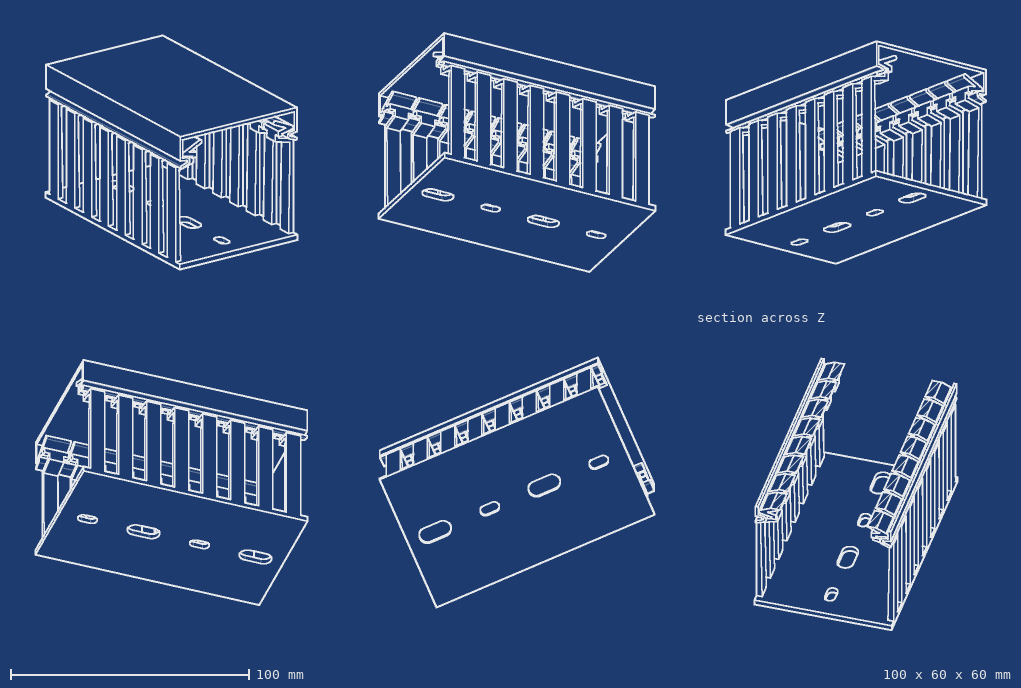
import cadquery as cq
import math


length = 100.0
width = 60.0
height = 60.0

base_thickness = 2.5
slot_pitch = 25.0
slots_per_size = 2
large_slot_width = 6.8
large_slot_length = 14.0
small_slot_width = 4.4
small_slot_length = 8.4

finger_pitch = 12.5
finger_count = int(length / finger_pitch)
finger_width = 6.4
finger_top_thickness = 1.8
finger_root_thickness = 2.5

shoulder_outer_z = 45.1
shoulder_under_z = 43.5
shoulder_rise = 1.6
neck_inner_y = 20.8
neck_thickness = 2.0
neck_bottom_z = 45.4
neck_outer_y = neck_inner_y + neck_thickness

head_gap = 1.6
head_width = finger_pitch - head_gap
head_bottom_z = 48.5
leg_height = 1.9
leg_slope = 0.2
nose_z = 51.2
arm_radius = 0.9
arm_tip_y = 19.1
arm_tip_z = 55.1

lid_half_width = 29.7
lid_top_thickness = 1.7
lid_side_thickness = 1.3
lid_side_bottom_z = 49.0
lid_inner_y = lid_half_width - lid_side_thickness
nose_gap = 0.1
nose_y = lid_inner_y - nose_gap - arm_radius

lip_radius = 0.6
lip_root_z = lid_side_bottom_z + lip_radius
lip_bend_start = (26.3, 49.1)
lip_bend_middle = (25.5, 48.1)
lip_bend_end = (26.1, 47.2)
lip_tip_y = lid_half_width - lip_radius
lip_tip_z = 46.0


def extrude_along_x(profile, size):
    """Extrude a YZ sketch to a bar of the given size, centred on X = 0."""
    return profile.extrude(size / 2, both=True)


def mounting_slots(slot_length, slot_width, first_x):
    """Slots of one size, cut through the base; every second place along X."""
    slots = cq.Workplane("XY")
    for index in range(slots_per_size):
        slot_x = first_x + index * 2 * slot_pitch
        slot = cq.Workplane("XY").center(slot_x, 0).slot2D(slot_length, slot_width)
        slots = slots.add(slot.extrude(base_thickness))
    return slots.combine()


def make_base():
    base = cq.Workplane("XY").box(length, width, base_thickness, centered=(True, True, False))
    first_slot_x = -length / 2 + slot_pitch / 2
    base = base.cut(mounting_slots(large_slot_length, large_slot_width, first_slot_x))
    return base.cut(mounting_slots(small_slot_length, small_slot_width, first_slot_x + slot_pitch))


def make_finger_post():
    """Tapered finger with its shoulder and neck, up to the underside of the head."""
    outer_y = width / 2
    profile = (
        cq.Workplane("YZ")
        .moveTo(outer_y, base_thickness)
        .lineTo(outer_y, shoulder_outer_z)
        .lineTo(neck_outer_y, shoulder_outer_z + shoulder_rise)
        .lineTo(neck_outer_y, head_bottom_z)
        .lineTo(neck_inner_y, head_bottom_z)
        .lineTo(neck_inner_y, neck_bottom_z)
        .lineTo(outer_y - finger_top_thickness, shoulder_under_z)
        .lineTo(outer_y - finger_root_thickness, base_thickness)
        .close()
    )
    return extrude_along_x(profile, finger_width)


def make_snap_head():
    """Head of a finger, wider along X than the post below it."""
    leg_bottom_z = nose_z - arm_radius
    leg_drop_to_outer = leg_slope * (nose_y - neck_outer_y)
    leg_drop_to_inner = leg_slope * (nose_y - neck_inner_y)
    leg_profile = (
        cq.Workplane("YZ")
        .moveTo(neck_inner_y, head_bottom_z)
        .lineTo(neck_outer_y, head_bottom_z)
        .lineTo(neck_outer_y, leg_bottom_z - leg_drop_to_outer)
        .lineTo(nose_y, leg_bottom_z)
        .lineTo(nose_y, leg_bottom_z + leg_height)
        .lineTo(neck_inner_y, leg_bottom_z + leg_height - leg_drop_to_inner)
        .close()
    )
    arm_run = nose_y - arm_tip_y
    arm_rise = arm_tip_z - nose_z
    arm_length = math.hypot(arm_run, arm_rise) + 2 * arm_radius
    arm_angle = math.degrees(math.atan2(-arm_rise, arm_run))
    arm_profile = (
        cq.Workplane("YZ")
        .center((nose_y + arm_tip_y) / 2, (nose_z + arm_tip_z) / 2)
        .slot2D(arm_length, 2 * arm_radius, arm_angle)
    )
    return extrude_along_x(leg_profile, head_width).union(extrude_along_x(arm_profile, head_width))


def make_duct():
    duct = make_base()
    finger = make_finger_post().union(make_snap_head())
    finger_pair = finger.union(finger.mirror("XZ"))
    for index in range(finger_count):
        finger_x = -length / 2 + (index + 0.5) * finger_pitch
        duct = duct.union(finger_pair.translate((finger_x, 0, 0)))
    return duct


def make_lid_lip():
    profile = (
        cq.Workplane("YZ")
        .moveTo(lid_half_width - lip_radius, lip_root_z)
        .lineTo(*lip_bend_start)
        .threePointArc(lip_bend_middle, lip_bend_end)
        .lineTo(lip_tip_y, lip_tip_z)
        .offset2D(lip_radius)
    )
    return extrude_along_x(profile, length)


def make_lid():
    shell_profile = (
        cq.Workplane("YZ")
        .moveTo(-lid_half_width, lid_side_bottom_z)
        .lineTo(-lid_half_width, height)
        .lineTo(lid_half_width, height)
        .lineTo(lid_half_width, lid_side_bottom_z)
        .lineTo(lid_inner_y, lid_side_bottom_z)
        .lineTo(lid_inner_y, height - lid_top_thickness)
        .lineTo(-lid_inner_y, height - lid_top_thickness)
        .lineTo(-lid_inner_y, lid_side_bottom_z)
        .close()
    )
    lip = make_lid_lip()
    return extrude_along_x(shell_profile, length).union(lip).union(lip.mirror("XZ"))


duct = make_duct()
lid = make_lid()
result = cq.Compound.makeCompound([duct.val(), lid.val()])